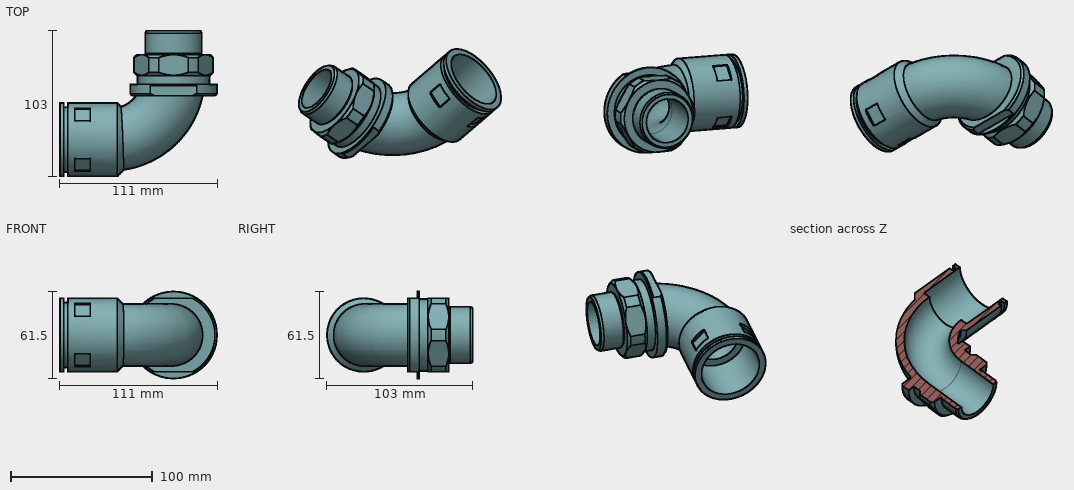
import cadquery as cq
import math


body_diameter = 52.0
tube_bore_diameter = 42.5
groove_diameter = 46.0
body_length = 40.5
groove_start = 2.8
groove_width = 2.9
shoulder_length = 6.0

pocket_count = 4
pocket_start = 10.7
pocket_length = 10.8
pocket_width = 12.8
pocket_corner_radius = 0.5
pocket_floor_radius = 24.0

elbow_diameter = 44.0
elbow_bore_diameter = 31.5
bend_radius = 44.5

flange_diameter = 61.5
flange_flats_width = 52.0
flange_start = 31.0
flange_thickness = 8.0
flange_end = flange_start + flange_thickness
flange_rim_thickness = 1.1
flange_chamfer = 1.5

collar_diameter = 51.0
nut_start = 45.0
nut_end = 60.0
nut_sides = 6
nut_flats_width = 52.0
nut_corner_diameter = 56.0
nut_end_diameter = 51.9
thread_diameter = 40.0
thread_root_diameter = 38.0
thread_end = 77.0
thread_lead_in = 1.75
thread_runout = 1.0

overall_length = 111.0
tube_mouth = flange_diameter / 2 - overall_length


def x_cylinder(start, length, diameter):
    """Cylinder on the X axis, from `start` towards +X."""
    return cq.Workplane("YZ", origin=(start, 0, 0)).circle(diameter / 2).extrude(length)


def y_cylinder(start, end, diameter):
    """Cylinder on the Y axis between two Y positions."""
    return cq.Workplane("XZ", origin=(0, start, 0)).circle(diameter / 2).extrude(start - end)


def y_revolve(profile):
    """Solid of revolution about the Y axis from (radius, y) points."""
    outline = [(0, profile[0][1])] + profile + [(0, profile[-1][1])]
    return cq.Workplane("XY").polyline(outline).close().revolve(360, (0, 0), (0, 1))


def bend(diameter):
    """Quarter bend of round section, tangent to both axes."""
    return (
        cq.Workplane("YZ", origin=(-bend_radius, 0, 0))
        .circle(diameter / 2)
        .revolve(90, (bend_radius, 0), (bend_radius, 1))
    )


def make_tube_connector():
    body_radius = body_diameter / 2
    shoulder = tube_mouth + body_length
    outline = [
        (tube_mouth, 0),
        (tube_mouth, body_radius),
        (shoulder, body_radius),
        (shoulder + shoulder_length, body_radius - shoulder_length),
        (shoulder + shoulder_length, 0),
    ]
    body = cq.Workplane("XY").polyline(outline).close().revolve(360, (0, 0), (1, 0))
    groove = x_cylinder(tube_mouth + groove_start, groove_width, body_diameter)
    groove = groove.cut(x_cylinder(tube_mouth + groove_start, groove_width, groove_diameter))
    return body.cut(groove)


def make_latch_pockets():
    """Flat-floored pockets midway between the Y and Z directions."""
    pocket = cq.Workplane("XY").box(
        pocket_length, pocket_width, body_diameter / 2, centered=(False, True, False)
    )
    pocket = pocket.edges("|Z").fillet(pocket_corner_radius)
    pocket = pocket.translate((tube_mouth + pocket_start, 0, pocket_floor_radius))
    spacing = 360 / pocket_count
    pockets = cq.Workplane("XY")
    for index in range(pocket_count):
        angle = spacing * (index + 0.5)
        pockets = pockets.add(pocket.rotate((0, 0, 0), (1, 0, 0), angle))
    return pockets.combine()


def make_flange():
    radius = flange_diameter / 2
    flange = y_revolve([
        (radius - flange_chamfer, flange_start),
        (radius, flange_start + flange_chamfer),
        (radius, flange_end),
    ])
    flatted_depth = flange_thickness - flange_rim_thickness
    flatted_part = cq.Workplane("XY").box(
        flange_diameter, flatted_depth, flange_flats_width, centered=(True, False, True)
    ).translate((0, flange_start, 0))
    rim = y_cylinder(flange_end - flange_rim_thickness, flange_end, flange_diameter)
    return flange.intersect(flatted_part.union(rim))


def make_nut():
    """Hexagon with flats facing +Z and -Z, its corners turned and chamfered at 45 degrees."""
    corner_radius = nut_corner_diameter / 2
    bottom_radius = collar_diameter / 2
    top_radius = nut_end_diameter / 2
    envelope = y_revolve([
        (bottom_radius, nut_start),
        (corner_radius, nut_start + corner_radius - bottom_radius),
        (corner_radius, nut_end - corner_radius + top_radius),
        (top_radius, nut_end),
    ])
    sharp_corner_diameter = nut_flats_width / math.cos(math.pi / nut_sides)
    hexagon = (
        cq.Workplane("XZ", origin=(0, nut_start, 0))
        .polygon(nut_sides, sharp_corner_diameter)
        .extrude(nut_start - nut_end)
    )
    return hexagon.intersect(envelope)


def make_thread():
    radius = thread_diameter / 2
    root_radius = thread_root_diameter / 2
    return y_revolve([
        (root_radius, nut_end),
        (radius, nut_end + thread_runout),
        (radius, thread_end - thread_lead_in),
        (root_radius, thread_end),
    ])


def make_passage():
    """Tube socket ending where the bend begins, then the bore through to the thread end."""
    socket = x_cylinder(tube_mouth, -bend_radius - tube_mouth, tube_bore_diameter)
    outlet = y_cylinder(bend_radius, thread_end, elbow_bore_diameter)
    return socket.union(bend(elbow_bore_diameter)).union(outlet)


collar = y_cylinder(flange_end, nut_start, collar_diameter)

result = (
    make_tube_connector()
    .cut(make_latch_pockets())
    .union(bend(elbow_diameter))
    .union(make_flange())
    .union(collar)
    .union(make_nut())
    .union(make_thread())
    .cut(make_passage())
)